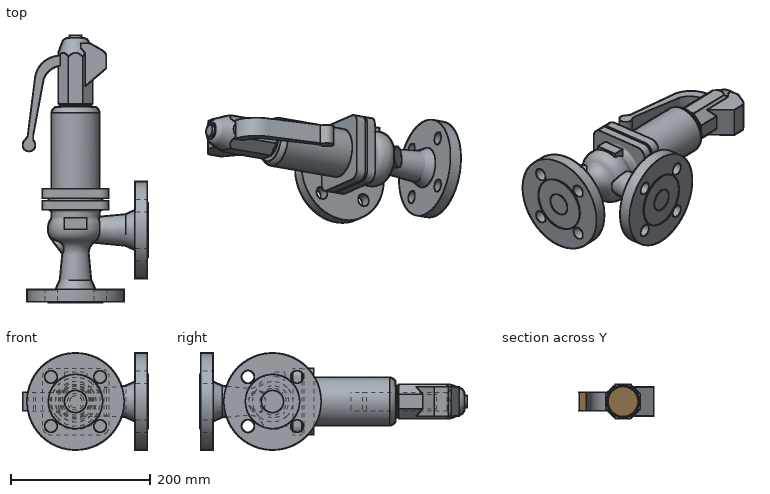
import cadquery as cq
import math


face_distance = 105.0
flange_diameter = 140.0
flange_thickness = 18.0
raised_face_diameter = 78.0
raised_face_height = 1.5
flange_back = face_distance - raised_face_height - flange_thickness
bolt_circle_diameter = 100.0
bolt_hole_diameter = 18.0
bolt_hole_count = 4
bore_diameter = 32.0
bore_recess_depth = 0.5
neck_start = 33.5
neck_start_radius = 19.2
neck_flare_start = 72.0
neck_flare_radius = 22.9
neck_root_radius = 29.0

joint_flange_side = 96.0
joint_corner_radius = 13.0
lower_joint_bottom = 28.8
lower_joint_top = 42.2
upper_joint_bottom = 45.3
upper_joint_top = 59.6
gasket_radius = 39.0

collar_radius = 35.0
collar_fillet = 4.0
collar_bottom = 18.5
collar_blend_radius = 7.5
belly_top = 14.0
belly_top_radius = 36.5
belly_shoulder = 8.0
belly_shoulder_radius = 39.2
belly_radius = 40.0
belly_arc_radius = 17.7
belly_bottom = -16.5
belly_bottom_radius = 28.7
throat_arc_radius = 19.7

drain_radius = 15.3
drain_face_x = -27.8
drain_face_y = -22.7
drain_normal_x = -0.8
drain_normal_y = -0.6
drain_length = 30.0

plate_width = 32.5
plate_bottom = 1.0
plate_top = 17.7
plate_height = 42.5

bonnet_radius = 35.2
bonnet_top = 177.0
bonnet_top_radius = 29.4
bonnet_shoulder = 168.6
bonnet_shoulder_arc = 14.0

thread_radius = 22.0
thread_relief_radius = 23.4
thread_step = 179.2

cap_across_flats = 50.0
cap_sides = 8
cap_bottom = 181.7
crown_base = 268.5
crown_base_radius = 20.0
crown_top = 276.5
crown_top_radius = 12.0
crown_mid = (17.3, 273.6)
cap_cone_base = 249.3
tip_radius = 8.8
tip_top = 280.5

lever_width = 27.0
grip_radius = 9.3
grip_center = (-66.97, 122.2)
grip_blend_y = 128.7
lever_root_x = -15.0
lever_root_top = 251.0
lever_root_bottom = 236.5
outer_bend_start_x = -23.0
outer_bend_mid = (-49.0, 239.0)
outer_bend_end = (-58.8, 216.0)
outer_arm_end = (-69.0, 135.0)
outer_grip_blend_x = -73.4
inner_bend_start_x = -21.5
inner_bend_mid = (-35.0, 231.0)
inner_bend_end = (-45.5, 218.0)
inner_arm_end = (-60.5, 137.0)

hood_width = 42.4
hood_inner_x = 7.8
hood_top_x = 21.5
hood_outer_x = 44.3
hood_outer_top = 252.5
hood_outer_bottom = 232.5
hood_corner = (40.5, 257.5)
hood_foot = (13.9, 206.7)


def polar(radius, degrees):
    """Point at a radius and angle about the origin."""
    angle = math.radians(degrees)
    return (radius * math.cos(angle), radius * math.sin(angle))


def disc(radius, bottom, top):
    """Cylinder on the Y axis between two heights."""
    return cq.Workplane("XZ", origin=(0, bottom, 0)).circle(radius).extrude(bottom - top)


def make_pipe_end():
    """Flared neck with a drilled flange, pointing along -Y."""
    taper = (neck_flare_radius - neck_start_radius) / (neck_flare_start - neck_start)
    neck_inner_radius = neck_start_radius - taper * neck_start
    neck = (
        cq.Workplane("XY")
        .moveTo(0, 0)
        .lineTo(neck_inner_radius, 0)
        .lineTo(neck_flare_radius, -neck_flare_start)
        .lineTo(neck_root_radius, -flange_back)
        .lineTo(0, -flange_back)
        .close()
        .revolve(360, (0, 0, 0), (0, 1, 0))
    )
    flange_front = -flange_back - flange_thickness
    flange = disc(flange_diameter / 2, flange_front, -flange_back)
    hole_angle = 180 / bolt_hole_count
    holes = (
        cq.Workplane("XZ", origin=(0, flange_front, 0))
        .polarArray(bolt_circle_diameter / 2, hole_angle, 360, bolt_hole_count)
        .circle(bolt_hole_diameter / 2)
        .extrude(-flange_thickness)
    )
    raised_face = disc(raised_face_diameter / 2, -face_distance, flange_front)
    recess = disc(bore_diameter / 2, -face_distance, -face_distance + bore_recess_depth)
    return neck.union(flange.cut(holes)).union(raised_face).cut(recess)


def make_body():
    """Rounded body, from the joint flange down to the inlet neck."""
    collar_flare_start = lower_joint_bottom - collar_fillet
    return (
        cq.Workplane("XY")
        .moveTo(0, lower_joint_bottom)
        .lineTo(collar_radius + collar_fillet, lower_joint_bottom)
        .radiusArc((collar_radius, collar_flare_start), -collar_fillet)
        .lineTo(collar_radius, collar_bottom)
        .radiusArc((belly_top_radius, belly_top), -collar_blend_radius)
        .radiusArc((belly_shoulder_radius, belly_shoulder), belly_arc_radius)
        .radiusArc((belly_radius, 0), 2 * belly_arc_radius)
        .radiusArc((belly_bottom_radius, belly_bottom), belly_arc_radius)
        .radiusArc((neck_start_radius, -neck_start), -throat_arc_radius)
        .lineTo(0, -neck_start)
        .close()
        .revolve(360, (0, 0, 0), (0, 1, 0))
    )


def square_flange(bottom, top):
    """Square plate with rounded corners on the Y axis between two heights."""
    return (
        cq.Workplane("XZ", origin=(0, bottom, 0))
        .rect(joint_flange_side, joint_flange_side)
        .extrude(bottom - top)
        .edges("|Y")
        .fillet(joint_corner_radius)
    )


def make_joint():
    """Two square flanges with a gasket between them."""
    lower = square_flange(lower_joint_bottom, lower_joint_top)
    upper = square_flange(upper_joint_bottom, upper_joint_top)
    return lower.union(disc(gasket_radius, lower_joint_top, upper_joint_bottom)).union(upper)


def make_drain_boss():
    """Round boss set obliquely into the lower side of the body."""
    face = cq.Plane(
        origin=(drain_face_x, drain_face_y, 0),
        xDir=(0, 0, 1),
        normal=(drain_normal_x, drain_normal_y, 0),
    )
    return cq.Workplane(face).circle(drain_radius).extrude(-drain_length)


def make_name_plate():
    """Flat-topped rectangular pad on the +Z side of the body."""
    length = plate_top - plate_bottom
    return (
        cq.Workplane("XY")
        .center(0, (plate_top + plate_bottom) / 2)
        .rect(plate_width, length)
        .extrude(plate_height)
    )


def make_bonnet():
    """Round barrel with a rounded shoulder and a stepped groove above it."""
    barrel = (
        cq.Workplane("XY")
        .moveTo(0, upper_joint_top)
        .lineTo(bonnet_radius, upper_joint_top)
        .lineTo(bonnet_radius, bonnet_shoulder)
        .radiusArc((bonnet_top_radius, bonnet_top), -bonnet_shoulder_arc)
        .lineTo(0, bonnet_top)
        .close()
        .revolve(360, (0, 0, 0), (0, 1, 0))
    )
    thread = disc(thread_radius, bonnet_top, thread_step)
    relief = disc(thread_relief_radius, thread_step, cap_bottom)
    return barrel.union(thread).union(relief)


def make_cap():
    """Octagonal cap trimmed to a cone and a rounded crown, with a tip on top."""
    corner_radius = cap_across_flats / 2 / math.cos(math.pi / cap_sides)
    half_step = 180 / cap_sides
    corners = [polar(corner_radius, half_step * (2 * side + 1)) for side in range(cap_sides)]
    octagon = (
        cq.Workplane("XZ", origin=(0, cap_bottom, 0))
        .polyline(corners)
        .close()
        .extrude(cap_bottom - crown_top)
    )
    envelope = (
        cq.Workplane("XY")
        .moveTo(0, cap_bottom)
        .lineTo(corner_radius, cap_bottom)
        .lineTo(corner_radius, cap_cone_base)
        .lineTo(crown_base_radius, crown_base)
        .threePointArc(crown_mid, (crown_top_radius, crown_top))
        .lineTo(0, crown_top)
        .close()
        .revolve(360, (0, 0, 0), (0, 1, 0))
    )
    return octagon.intersect(envelope).union(disc(tip_radius, crown_top, tip_top))


def make_lever():
    """Curved lever ending in a round grip."""
    arm = (
        cq.Workplane("XY")
        .moveTo(lever_root_x, lever_root_top)
        .lineTo(outer_bend_start_x, lever_root_top)
        .threePointArc(outer_bend_mid, outer_bend_end)
        .lineTo(*outer_arm_end)
        .lineTo(outer_grip_blend_x, grip_blend_y)
        .lineTo(*grip_center)
        .lineTo(inner_arm_end[0], grip_blend_y)
        .lineTo(*inner_arm_end)
        .lineTo(*inner_bend_end)
        .threePointArc(inner_bend_mid, (inner_bend_start_x, lever_root_bottom))
        .lineTo(lever_root_x, lever_root_bottom)
        .close()
        .extrude(lever_width / 2, both=True)
    )
    grip = (
        cq.Workplane("XY")
        .center(*grip_center)
        .circle(grip_radius)
        .extrude(lever_width / 2, both=True)
    )
    return arm.union(grip)


def make_hood():
    """Wedge-shaped hood over the lever pivot."""
    return (
        cq.Workplane("XY")
        .moveTo(hood_inner_x, crown_base)
        .lineTo(hood_top_x, crown_base)
        .lineTo(*hood_corner)
        .lineTo(hood_outer_x, hood_outer_top)
        .lineTo(hood_outer_x, hood_outer_bottom)
        .lineTo(*hood_foot)
        .lineTo(hood_inner_x, hood_foot[1])
        .close()
        .extrude(hood_width / 2, both=True)
    )


inlet = make_pipe_end()
outlet = make_pipe_end().rotate((0, 0, 0), (0, 0, 1), 90)

result = (
    make_body()
    .union(inlet)
    .union(outlet)
    .union(make_drain_boss())
    .union(make_name_plate())
    .union(make_joint())
    .union(make_bonnet())
    .union(make_cap())
    .union(make_lever())
    .union(make_hood())
)